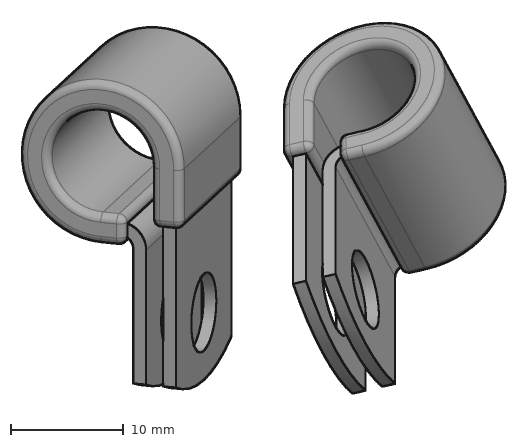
import cadquery as cq
import math


cushion_outer_radius = 7.565
cushion_thickness = 2.8
cushion_width = 17.45
cushion_edge_radius = 0.75
upright_run = 5.55
lower_run = 2.23
cushion_inner_radius = cushion_outer_radius - cushion_thickness
mid_radius = cushion_outer_radius - cushion_thickness / 2

overall_height = 29.72
strap_thickness = 1.22
strap_width = 15.85
bend_outer_radius = 2.38
bent_tab_outer_x = 3.98
tab_end_rise = 1.7
strap_overlap = 0.9
tab_bottom = cushion_outer_radius - overall_height

hole_diameter = 7.13
hole_height = 6.3


def make_cushion():
    outer, inner = cushion_outer_radius, cushion_inner_radius
    diagonal = math.sqrt(0.5)
    body = (
        cq.Workplane("XZ")
        .moveTo(outer, -upright_run)
        .lineTo(outer, 0)
        .threePointArc((-outer * diagonal, outer * diagonal), (0, -outer))
        .lineTo(lower_run, -outer)
        .lineTo(lower_run, -inner)
        .lineTo(0, -inner)
        .threePointArc((-inner * diagonal, inner * diagonal), (inner, 0))
        .lineTo(inner, -upright_run)
        .close()
        .extrude(cushion_width / 2, both=True)
    )
    upright_end = cq.NearestToPointSelector((mid_radius, 0, -upright_run))
    lower_end = cq.NearestToPointSelector((lower_run, 0, -mid_radius))
    end_faces = body.faces("<Y or >Y").add(body.faces(upright_end)).add(body.faces(lower_end))
    return end_faces.edges().fillet(cushion_edge_radius)


def make_bent_tab():
    """Tab that leaves the lower run horizontally and bends down."""
    top = -mid_radius + strap_thickness / 2
    bend_x = bent_tab_outer_x - bend_outer_radius
    bend_z = top - bend_outer_radius
    bend_inner_radius = bend_outer_radius - strap_thickness
    start_x = bend_x - strap_overlap
    return (
        cq.Workplane("XZ")
        .moveTo(start_x, top)
        .lineTo(bend_x, top)
        .radiusArc((bent_tab_outer_x, bend_z), bend_outer_radius)
        .lineTo(bent_tab_outer_x, tab_bottom)
        .lineTo(bent_tab_outer_x - strap_thickness, tab_bottom)
        .lineTo(bent_tab_outer_x - strap_thickness, bend_z)
        .radiusArc((bend_x, top - strap_thickness), -bend_inner_radius)
        .lineTo(start_x, top - strap_thickness)
        .close()
        .extrude(strap_width / 2, both=True)
    )


def make_straight_tab():
    """Tab that continues the upright run straight down."""
    tab_top = -upright_run + strap_overlap
    return cq.Workplane("XY").box(
        strap_thickness, strap_width, tab_top - tab_bottom, centered=(True, True, False)
    ).translate((mid_radius, 0, tab_bottom))


def make_tab_outline():
    """Block across both tabs with the arched lower end and the bolt hole."""
    half_width = strap_width / 2
    corner_z = tab_bottom + tab_end_rise
    return (
        cq.Workplane("YZ")
        .moveTo(-half_width, 0)
        .lineTo(-half_width, corner_z)
        .threePointArc((0, tab_bottom), (half_width, corner_z))
        .lineTo(half_width, 0)
        .close()
        .moveTo(0, tab_bottom + hole_height)
        .circle(hole_diameter / 2)
        .extrude(cushion_outer_radius)
    )


tabs = make_bent_tab().union(make_straight_tab()).intersect(make_tab_outline())
result = make_cushion().union(tabs)